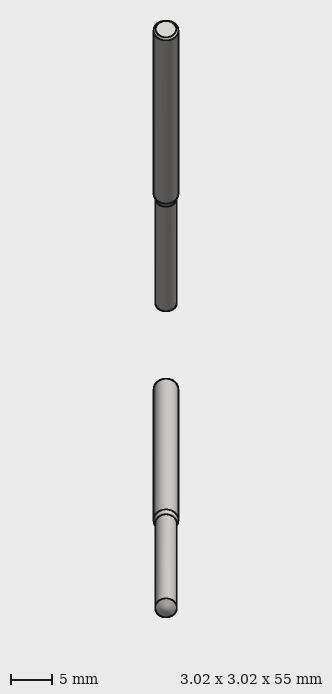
import cadquery as cq
import math

total_length = 55.0

shank_radius = 1.51
top_chamfer = 0.3
shank_bottom = 22.2
taper_length = 0.6

cutter_radius = 1.3
cutter_top = 21.35
point_angle = 140.0

taper_bottom = shank_bottom - taper_length
point_height = cutter_radius / math.tan(math.radians(point_angle / 2))


def revolve_profile(points):
    """Turn a closed (radius, height) outline about the Z axis."""
    outline = cq.Workplane("XZ").polyline(points).close()
    return outline.revolve(360, (0, 0, 0), (0, 1, 0))


def make_shank():
    """Chamfered shank that tapers down to a short neck at the joint."""
    return revolve_profile([
        (0, cutter_top),
        (cutter_radius, cutter_top),
        (cutter_radius, taper_bottom),
        (shank_radius, shank_bottom),
        (shank_radius, total_length - top_chamfer),
        (shank_radius - top_chamfer, total_length),
        (0, total_length),
    ])


def make_cutter():
    """Plain cylindrical cutter with a shallow conical point at the origin."""
    return revolve_profile([
        (0, 0),
        (cutter_radius, point_height),
        (cutter_radius, cutter_top),
        (0, cutter_top),
    ])


shank = make_shank()
cutter = make_cutter()
result = cq.Compound.makeCompound([shank.val(), cutter.val()])